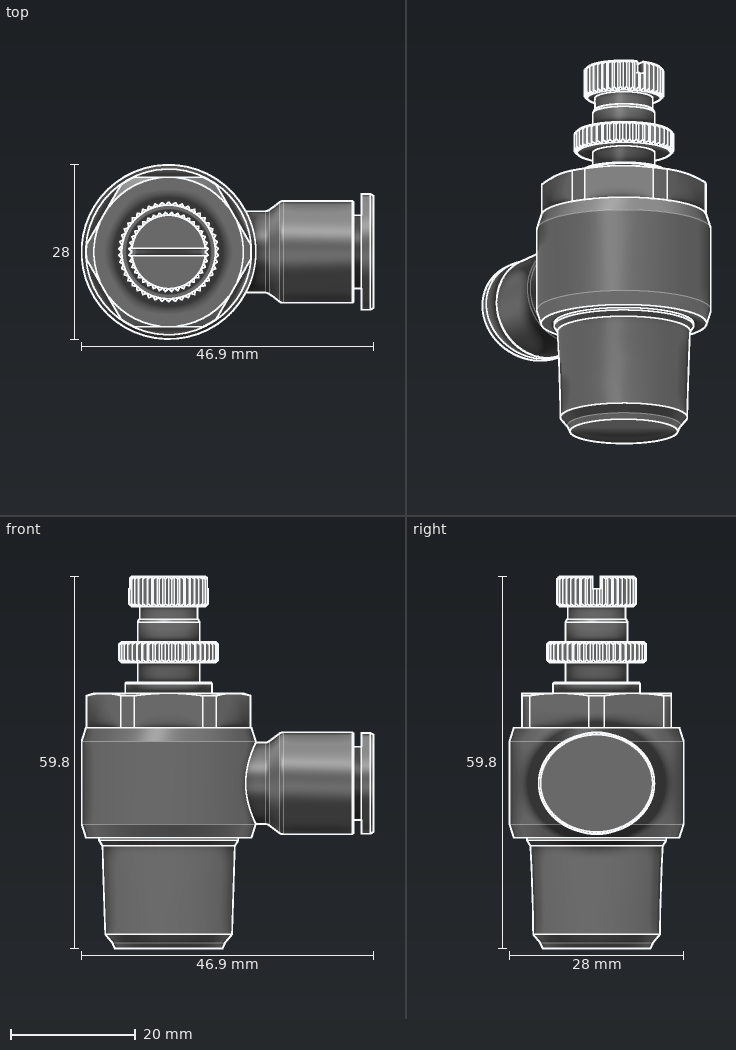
import cadquery as cq
import math


TIP_RADIUS = 8.65
TIP_BEVEL_RADIUS = 9.1
TIP_BEVEL_Z = 1.0
THREAD_START_Z = 2.3
THREAD_END_Z = 16.5
THREAD_START_RADIUS = 10.2
THREAD_TAPER = 1 / 16
SEAL_RADIUS = 11.2
SEAL_Z = 17.4

BODY_RADIUS = 14.0
BODY_END_RADIUS = 13.3
BODY_BOTTOM_Z = 17.8
BODY_TOP_Z = 35.5
BODY_BEVEL_HEIGHT = 2.2

HEX_ACROSS_FLATS = 24.0
HEX_CORNER_RADIUS = 13.2
HEX_TOP_Z = 41.0
HEX_BEVEL_HEIGHT = 0.4
HEX_TURN = 30.0

COLLAR_RADIUS = 7.0
COLLAR_TOP_Z = 42.8
COLLAR_CHAMFER = 0.25
SPINDLE_RADIUS = 5.0
SPINDLE_TOP_Z = 52.9
SPINDLE_BEVEL_RADIUS = 4.75
SPINDLE_BEVEL_HEIGHT = 0.5
NECK_RADIUS = 4.65

NUT_TIP_RADIUS = 8.0
NUT_ROOT_RADIUS = 7.5
NUT_TEETH = 46
NUT_BOTTOM_Z = 45.9
NUT_TOP_Z = 49.3

KNOB_TIP_RADIUS = 6.38
KNOB_ROOT_RADIUS = 5.88
KNOB_TEETH = 40
KNOB_BOTTOM_Z = 54.9
TOTAL_HEIGHT = 59.8
SLOT_WIDTH = 1.2
SLOT_DEPTH = 2.0

KNURL_BEVEL_HEIGHT = 0.45

PORT_Z = 26.55
PORT_NECK_RADIUS = 6.55
PORT_CONE_START_X = 15.85
PORT_CONE_END_X = 18.05
PORT_RADIUS = 8.2
PORT_END_X = 29.7
PORT_END_CHAMFER = 0.2
PORT_BLEND_RADIUS = 1.0

SLEEVE_RADIUS = 5.9
RING_START_X = 30.95
RING_END_X = 32.9
RING_HALF_WIDTH = 9.3
RING_HALF_HEIGHT = 8.1
RING_CHAMFER_LENGTH = 0.5
RING_CHAMFER_DEPTH = 0.3


def cylinder(radius, bottom, top):
    """Upright cylinder on the Z axis."""
    return cq.Workplane("XY").workplane(offset=bottom).circle(radius).extrude(top - bottom)


def turned(points):
    """Solid of revolution about Z from (radius, z) points."""
    return cq.Workplane("XZ").polyline(points).close().revolve(360, (0, 0, 0), (0, 1, 0))


def make_body():
    """Threaded stem and main body, turned in one piece."""
    thread_growth = (THREAD_END_Z - THREAD_START_Z) * THREAD_TAPER / 2
    return turned([
        (0, 0),
        (TIP_RADIUS, 0),
        (TIP_BEVEL_RADIUS, TIP_BEVEL_Z),
        (THREAD_START_RADIUS, THREAD_START_Z),
        (THREAD_START_RADIUS + thread_growth, THREAD_END_Z),
        (SEAL_RADIUS, SEAL_Z),
        (SEAL_RADIUS, BODY_BOTTOM_Z),
        (BODY_END_RADIUS, BODY_BOTTOM_Z),
        (BODY_RADIUS, BODY_BOTTOM_Z + BODY_BEVEL_HEIGHT),
        (BODY_RADIUS, BODY_TOP_Z - BODY_BEVEL_HEIGHT),
        (BODY_END_RADIUS, BODY_TOP_Z),
        (0, BODY_TOP_Z),
    ])


def make_hexagon():
    """Hexagon with flats facing +Y and -Y and its corners turned round."""
    prism = (
        cq.Workplane("XY")
        .workplane(offset=BODY_TOP_Z)
        .polygon(6, HEX_ACROSS_FLATS, circumscribed=True)
        .extrude(HEX_TOP_Z - BODY_TOP_Z)
        .rotate((0, 0, 0), (0, 0, 1), HEX_TURN)
    )
    envelope = turned([
        (0, BODY_TOP_Z),
        (HEX_CORNER_RADIUS, BODY_TOP_Z),
        (HEX_CORNER_RADIUS, HEX_TOP_Z - HEX_BEVEL_HEIGHT),
        (HEX_ACROSS_FLATS / 2, HEX_TOP_Z),
        (0, HEX_TOP_Z),
    ])
    return prism.intersect(envelope)


def make_spindle():
    """Collar on the hexagon, spindle and the narrower neck under the knob."""
    collar = cylinder(COLLAR_RADIUS, HEX_TOP_Z, COLLAR_TOP_Z).faces(">Z").chamfer(COLLAR_CHAMFER)
    spindle = turned([
        (0, COLLAR_TOP_Z),
        (SPINDLE_RADIUS, COLLAR_TOP_Z),
        (SPINDLE_RADIUS, SPINDLE_TOP_Z - SPINDLE_BEVEL_HEIGHT),
        (SPINDLE_BEVEL_RADIUS, SPINDLE_TOP_Z),
        (NECK_RADIUS, SPINDLE_TOP_Z),
        (NECK_RADIUS, KNOB_BOTTOM_Z),
        (0, KNOB_BOTTOM_Z),
    ])
    return collar.union(spindle)


def knurled_disc(tip_radius, root_radius, teeth, bottom, top):
    """Disc with V-shaped teeth, bevelled at both ends down to the tooth roots."""
    half_pitch = math.pi / teeth
    outline = []
    for i in range(teeth):
        root_angle = 2 * i * half_pitch
        tip_angle = root_angle + half_pitch
        outline.append((root_radius * math.cos(root_angle), root_radius * math.sin(root_angle)))
        outline.append((tip_radius * math.cos(tip_angle), tip_radius * math.sin(tip_angle)))
    toothed = cq.Workplane("XY").workplane(offset=bottom).polyline(outline).close().extrude(top - bottom)
    envelope = turned([
        (0, bottom),
        (root_radius, bottom),
        (tip_radius, bottom + KNURL_BEVEL_HEIGHT),
        (tip_radius, top - KNURL_BEVEL_HEIGHT),
        (root_radius, top),
        (0, top),
    ])
    return toothed.intersect(envelope)


def make_lock_nut():
    return knurled_disc(NUT_TIP_RADIUS, NUT_ROOT_RADIUS, NUT_TEETH, NUT_BOTTOM_Z, NUT_TOP_Z)


def make_knob():
    """Knurled knob with a screwdriver slot along X."""
    knob = knurled_disc(KNOB_TIP_RADIUS, KNOB_ROOT_RADIUS, KNOB_TEETH, KNOB_BOTTOM_Z, TOTAL_HEIGHT)
    slot = cq.Workplane("XY").workplane(offset=TOTAL_HEIGHT - SLOT_DEPTH)
    slot = slot.rect(3 * KNOB_TIP_RADIUS, SLOT_WIDTH).extrude(2 * SLOT_DEPTH)
    return knob.cut(slot)


def make_port():
    """Side port turned about its own X-parallel axis, with blended cone edges."""
    port = (
        cq.Workplane("XZ", origin=(0, 0, PORT_Z))
        .polyline([
            (0, 0),
            (0, PORT_NECK_RADIUS),
            (PORT_CONE_START_X, PORT_NECK_RADIUS),
            (PORT_CONE_END_X, PORT_RADIUS),
            (PORT_END_X, PORT_RADIUS),
            (PORT_END_X, 0),
        ])
        .close()
        .revolve(360, (0, 0, 0), (1, 0, 0))
    )
    port = port.faces(">X").edges().chamfer(PORT_END_CHAMFER)
    cone_edges = cq.selectors.BoxSelector(
        (PORT_CONE_START_X - PORT_BLEND_RADIUS, -BODY_RADIUS, PORT_Z - BODY_RADIUS),
        (PORT_CONE_END_X + PORT_BLEND_RADIUS, BODY_RADIUS, PORT_Z + BODY_RADIUS),
    )
    return port.edges("%CIRCLE").edges(cone_edges).fillet(PORT_BLEND_RADIUS)


def make_release_ring():
    """Sleeve leaving the port and the oval ring at its end."""
    sleeve = cq.Workplane("YZ", origin=(PORT_END_X, 0, PORT_Z))
    sleeve = sleeve.circle(SLEEVE_RADIUS).extrude(RING_START_X - PORT_END_X)
    ring = (
        cq.Workplane("YZ", origin=(RING_START_X, 0, PORT_Z))
        .ellipse(RING_HALF_WIDTH, RING_HALF_HEIGHT)
        .extrude(RING_END_X - RING_START_X)
        .faces(">X")
        .edges()
        .chamfer(RING_CHAMFER_LENGTH, RING_CHAMFER_DEPTH)
    )
    return sleeve.union(ring)


result = make_body()
for piece in (
    make_hexagon(),
    make_spindle(),
    make_lock_nut(),
    make_knob(),
    make_port(),
    make_release_ring(),
):
    result = result.union(piece)